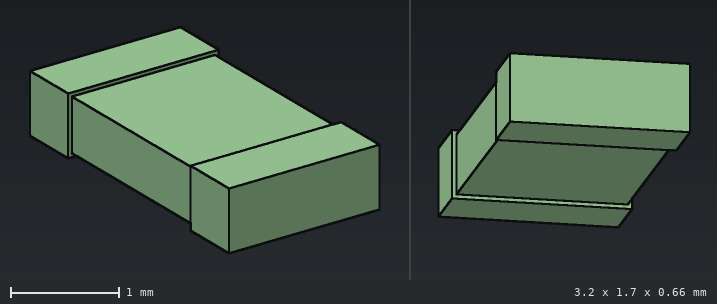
import cadquery as cq

LENGTH = 3.2
WIDTH = 1.7
HEIGHT = 0.66

TERMINAL_LENGTH = 0.618
TERMINAL_STEP = 0.04

BODY_LENGTH = LENGTH - 2 * TERMINAL_LENGTH
BODY_WIDTH = WIDTH - 2 * TERMINAL_STEP
BODY_HEIGHT = HEIGHT - 2 * TERMINAL_STEP


def make_body():
    """Central block, fitted between the two terminals."""
    return cq.Workplane("XY").box(BODY_LENGTH, BODY_WIDTH, BODY_HEIGHT)


def make_terminal(side):
    """End block on the -X side (side = -1) or the +X side (side = 1)."""
    center_x = side * (LENGTH - TERMINAL_LENGTH) / 2
    return cq.Workplane("XY").box(TERMINAL_LENGTH, WIDTH, HEIGHT).translate((center_x, 0, 0))


body = make_body()
terminals = [make_terminal(side) for side in (-1, 1)]

result = cq.Compound.makeCompound([body.val(), *[terminal.val() for terminal in terminals]])